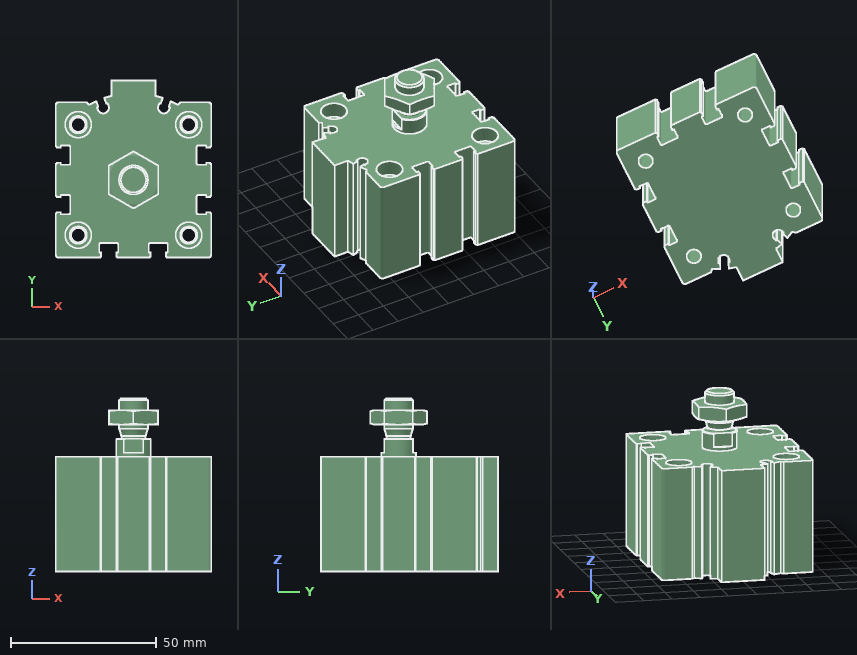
import cadquery as cq
import math

HOUSING_SIDE = 53.5
HOUSING_HEIGHT = 39.5
TOTAL_DEPTH = 61.0
CORNER_RADIUS = 1.0
HALF_SIDE = HOUSING_SIDE / 2
BACK_FACE = TOTAL_DEPTH - HALF_SIDE

SLOT_OFFSET = 8.5
MOUTH_WIDTH = 5.2
MOUTH_DEPTH = 1.8
SLOT_WIDTH = 6.5
SLOT_DEPTH = 5.0
SLOT_CORNER_RADIUS = 0.4
LIP_RADIUS = 0.4

RAIL_WIDTH = 15.2
RAIL_ROOT_Y = 28.9
GROOVE_DEPTH = 0.9
GROOVE_X = 15.3
CREST = (12.85, 27.1)
SHOULDER_TIP = (10.15, 28.25)

SENSOR_CENTER = (10.42, 24.82)
SENSOR_DIAMETER = 3.85
SENSOR_LEDGE_HEIGHT = 0.85
SENSOR_MOUTH_WIDTH = 2.9
SENSOR_MOUTH_LENGTH = 5.0
SENSOR_TILT = 20.0

HOLE_PITCH = 38.0
HOLE_DIAMETER = 4.92
HOLE_LEAD_IN_DIAMETER = 6.0
COUNTERBORE_DIAMETER = 9.0
COUNTERBORE_DEPTH = 5.8

ROD_LENGTH = 20.0
ROD_DIAMETER = 12.0
SHOULDER_HEIGHT = 6.1
SHOULDER_CHAMFER = 0.2
FLATS_WIDTH = 10.0
FLATS_BOTTOM = 1.35
THREAD_DIAMETER = 10.0
TIP_DIAMETER = 8.65
TIP_CHAMFER = (THREAD_DIAMETER - TIP_DIAMETER) / 2
NECK_DIAMETER = 8.2
NECK_FILLET = 0.45
NECK_TOP = 6.95
RUNOUT_BOTTOM_DIAMETER = 8.57
RUNOUT_BOTTOM = 7.15
RUNOUT_TOP = 9.6
RUNOUT_RADIUS = 10.0

NUT_ACROSS_FLATS = 17.0
NUT_HEIGHT = 5.0
NUT_BOTTOM = 11.0
NUT_FACE_DIAMETER = 16.8
NUT_CHAMFER_ANGLE = 15.0


def housing_plane():
    """Workplane on the bottom face of the housing."""
    return cq.Workplane("XY", origin=(0, 0, -HOUSING_HEIGHT))


def housing_block():
    """Square block with rounded vertical corners."""
    return (
        housing_plane()
        .rect(HOUSING_SIDE, HOUSING_SIDE)
        .extrude(HOUSING_HEIGHT)
        .edges("|Z")
        .fillet(CORNER_RADIUS)
    )


def back_rail():
    """Rail on the back face, with a sloped shoulder on each side."""
    half_rail = RAIL_WIDTH / 2
    valley_y = HALF_SIDE - GROOVE_DEPTH
    half_outline = [
        (GROOVE_X, valley_y),
        CREST,
        SHOULDER_TIP,
        (half_rail, RAIL_ROOT_Y),
        (half_rail, BACK_FACE),
    ]
    mirrored = [(-x, y) for x, y in reversed(half_outline)]
    return housing_plane().polyline(half_outline + mirrored).close().extrude(HOUSING_HEIGHT)


def back_groove(side):
    """V-groove between the flat back face and the shoulder crest, with its outer wall at 45 degrees."""
    outline = [
        (side * (GROOVE_X + GROOVE_DEPTH), HALF_SIDE),
        (side * GROOVE_X, HALF_SIDE - GROOVE_DEPTH),
        (side * CREST[0], CREST[1]),
    ]
    return housing_plane().polyline(outline).close().extrude(HOUSING_HEIGHT)


def sensor_slot(side):
    """Round-bottomed slot with a narrower mouth beyond its ledges, tilted outwards."""
    radius = SENSOR_DIAMETER / 2
    half_mouth = SENSOR_MOUTH_WIDTH / 2
    return (
        housing_plane()
        .moveTo(-radius, 0)
        .threePointArc((0, -radius), (radius, 0))
        .lineTo(radius, SENSOR_LEDGE_HEIGHT)
        .lineTo(half_mouth, SENSOR_LEDGE_HEIGHT)
        .lineTo(half_mouth, SENSOR_MOUTH_LENGTH)
        .lineTo(-half_mouth, SENSOR_MOUTH_LENGTH)
        .lineTo(-half_mouth, SENSOR_LEDGE_HEIGHT)
        .lineTo(-radius, SENSOR_LEDGE_HEIGHT)
        .close()
        .extrude(HOUSING_HEIGHT)
        .rotate((0, 0, 0), (0, 0, 1), -side * SENSOR_TILT)
        .translate((side * SENSOR_CENTER[0], SENSOR_CENTER[1], 0))
    )


def t_slot(offset, face_angle):
    """T-slot in the front face, turned about Z onto the wanted face."""
    slot = (
        housing_plane()
        .center(offset, -HALF_SIDE + (MOUTH_DEPTH + SLOT_DEPTH) / 2)
        .rect(SLOT_WIDTH, SLOT_DEPTH - MOUTH_DEPTH)
        .extrude(HOUSING_HEIGHT)
        .edges("|Z and >Y")
        .fillet(SLOT_CORNER_RADIUS)
    )
    half_mouth = MOUTH_WIDTH / 2
    mouth = (
        housing_plane()
        .moveTo(offset - half_mouth - LIP_RADIUS, -HALF_SIDE)
        .radiusArc((offset - half_mouth, -HALF_SIDE + LIP_RADIUS), LIP_RADIUS)
        .lineTo(offset - half_mouth, -HALF_SIDE + MOUTH_DEPTH)
        .lineTo(offset + half_mouth, -HALF_SIDE + MOUTH_DEPTH)
        .lineTo(offset + half_mouth, -HALF_SIDE + LIP_RADIUS)
        .radiusArc((offset + half_mouth + LIP_RADIUS, -HALF_SIDE), LIP_RADIUS)
        .close()
        .extrude(HOUSING_HEIGHT)
    )
    return slot.union(mouth).rotate((0, 0, 0), (0, 0, 1), face_angle)


def mounting_hole(x, y):
    """Counterbored through hole with a conical lead-in below the counterbore."""
    hole_radius = HOLE_DIAMETER / 2
    lead_in_radius = HOLE_LEAD_IN_DIAMETER / 2
    lead_in_bottom = -COUNTERBORE_DEPTH - (lead_in_radius - hole_radius)
    half_section = [
        (0, 0),
        (COUNTERBORE_DIAMETER / 2, 0),
        (COUNTERBORE_DIAMETER / 2, -COUNTERBORE_DEPTH),
        (lead_in_radius, -COUNTERBORE_DEPTH),
        (hole_radius, lead_in_bottom),
        (hole_radius, -HOUSING_HEIGHT),
        (0, -HOUSING_HEIGHT),
    ]
    tool = cq.Workplane("XZ").polyline(half_section).close().revolve(360, (0, 0), (0, 1))
    return tool.translate((x, y, 0))


def make_housing():
    """Profiled block with its rail, slots and four mounting holes."""
    body = housing_block().union(back_rail())
    for side in (-1, 1):
        body = body.cut(back_groove(side)).cut(sensor_slot(side))
        offset = side * SLOT_OFFSET
        for face_angle in (-90, 0, 90):
            body = body.cut(t_slot(offset, face_angle))
    for x in (-HOLE_PITCH / 2, HOLE_PITCH / 2):
        for y in (-HOLE_PITCH / 2, HOLE_PITCH / 2):
            body = body.cut(mounting_hole(x, y))
    return body


def make_rod():
    """Turned rod standing on the housing, with a necked thread runout and two wrench flats."""
    rod_radius = ROD_DIAMETER / 2
    neck_radius = NECK_DIAMETER / 2
    thread_radius = THREAD_DIAMETER / 2
    turned = (
        cq.Workplane("XZ")
        .lineTo(rod_radius, 0)
        .lineTo(rod_radius, SHOULDER_HEIGHT - SHOULDER_CHAMFER)
        .lineTo(rod_radius - SHOULDER_CHAMFER, SHOULDER_HEIGHT)
        .lineTo(neck_radius + NECK_FILLET, SHOULDER_HEIGHT)
        .radiusArc((neck_radius, SHOULDER_HEIGHT + NECK_FILLET), NECK_FILLET)
        .lineTo(neck_radius, NECK_TOP)
        .lineTo(RUNOUT_BOTTOM_DIAMETER / 2, RUNOUT_BOTTOM)
        .radiusArc((thread_radius, RUNOUT_TOP), RUNOUT_RADIUS)
        .lineTo(thread_radius, ROD_LENGTH - TIP_CHAMFER)
        .lineTo(TIP_DIAMETER / 2, ROD_LENGTH)
        .lineTo(0, ROD_LENGTH)
        .close()
        .revolve(360, (0, 0), (0, 1))
    )
    flat_depth = rod_radius - FLATS_WIDTH / 2
    flat_height = SHOULDER_HEIGHT - FLATS_BOTTOM
    flats = (
        cq.Workplane("XY", origin=(0, 0, FLATS_BOTTOM))
        .pushPoints([(0, side * (FLATS_WIDTH + flat_depth) / 2) for side in (-1, 1)])
        .rect(ROD_DIAMETER, flat_depth)
        .extrude(flat_height)
    )
    return turned.cut(flats)


def make_nut():
    """Hexagon nut with flats facing +X and -X and conical corner chamfers at both ends."""
    corner_radius = NUT_ACROSS_FLATS / 2 / math.cos(math.radians(30))
    face_radius = NUT_FACE_DIAMETER / 2
    chamfer_drop = (corner_radius - face_radius) * math.tan(math.radians(NUT_CHAMFER_ANGLE))
    nut_top = NUT_BOTTOM + NUT_HEIGHT
    hexagon = (
        cq.Workplane("XY", origin=(0, 0, NUT_BOTTOM))
        .transformed(rotate=(0, 0, 30))
        .polygon(6, 2 * corner_radius)
        .extrude(NUT_HEIGHT)
    )
    envelope = (
        cq.Workplane("XZ")
        .moveTo(THREAD_DIAMETER / 2, NUT_BOTTOM)
        .lineTo(face_radius, NUT_BOTTOM)
        .lineTo(corner_radius, NUT_BOTTOM + chamfer_drop)
        .lineTo(corner_radius, nut_top - chamfer_drop)
        .lineTo(face_radius, nut_top)
        .lineTo(THREAD_DIAMETER / 2, nut_top)
        .close()
        .revolve(360, (0, 0), (0, 1))
    )
    return hexagon.intersect(envelope)


housing = make_housing()
rod = make_rod()
nut = make_nut()

result = cq.Compound.makeCompound([body.solids().val() for body in (housing, rod, nut)])